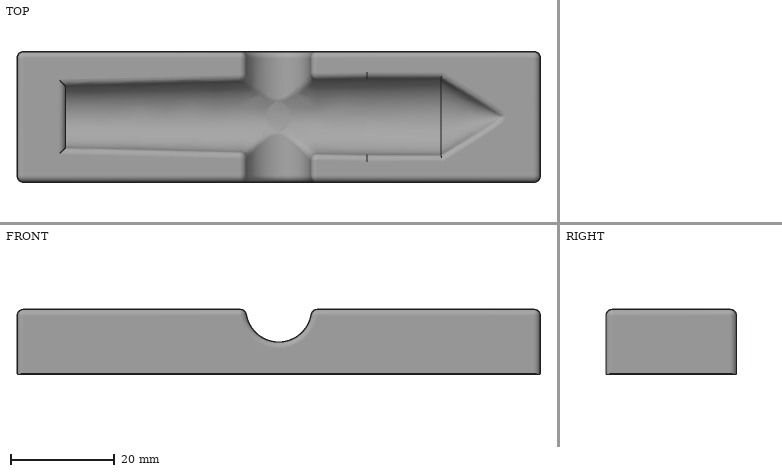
import cadquery as cq
import math

length = 101.6
width = 25.4
height = 12.7
edge_radius = 1.27
base_chamfer = 0.254

tail_x = -41.4
barrel_start_x = 17.1
barrel_end_x = 31.5
nose_apex_x = 43.8
tail_radius = 6.1
barrel_radius = 7.5
nose_tip_radius = 0.4

channel_radius = 6.35

joint_x = barrel_start_x
edge_margin = 0.01


def make_pocket_cutter():
    nose_angle = math.atan2(barrel_radius, nose_apex_x - barrel_end_x)
    tip_center_x = nose_apex_x - nose_tip_radius / math.sin(nose_angle)
    tangent_direction = math.pi / 2 - nose_angle

    def tip_point(direction):
        return (
            tip_center_x + nose_tip_radius * math.cos(direction),
            nose_tip_radius * math.sin(direction),
        )

    half_profile = (
        cq.Workplane("XY")
        .moveTo(tail_x, 0)
        .lineTo(tail_x, tail_radius)
        .lineTo(barrel_start_x, barrel_radius)
        .lineTo(barrel_end_x, barrel_radius)
        .lineTo(*tip_point(tangent_direction))
        .threePointArc(tip_point(tangent_direction / 2), tip_point(0))
        .close()
    )
    cutter = half_profile.revolve(360, (0, 0, 0), (1, 0, 0))
    cutter = cutter.rotate((0, 0, 0), (1, 0, 0), 90)
    return cutter.translate((0, 0, height))


def make_channel_cutter():
    return (
        cq.Workplane("XZ", origin=(0, width / 2, height))
        .circle(channel_radius)
        .extrude(width)
    )


def make_block_piece(start_x, end_x):
    return (
        cq.Workplane("XY", origin=(start_x, 0, 0))
        .box(end_x - start_x, width, height, centered=(False, True, False))
    )


def is_rounded(edge):
    """True for the upright corners, the top edges and the rims of the channel."""
    box = edge.BoundingBox()
    if box.zmax < edge_margin:
        return False
    if box.xmax - box.xmin > edge_margin:
        return True
    if abs(edge.Center().x - joint_x) < edge_margin:
        return False
    is_top = box.zmin > height - edge_margin
    is_corner_upright = edge.geomType() == "LINE"
    return is_top or is_corner_upright


def round_edges(piece):
    edges = [edge for edge in piece.edges().vals() if is_rounded(edge)]
    return piece.newObject(edges).fillet(edge_radius)


pocket_cutter = make_pocket_cutter()

tail_piece = make_block_piece(-length / 2, joint_x).cut(pocket_cutter).cut(make_channel_cutter())
nose_piece = make_block_piece(joint_x, length / 2).cut(pocket_cutter)

rounded_body = round_edges(tail_piece).union(round_edges(nose_piece)).clean()

chamfered_envelope = make_block_piece(-length / 2, length / 2).faces("<Z").edges().chamfer(base_chamfer)

result = rounded_body.intersect(chamfered_envelope)